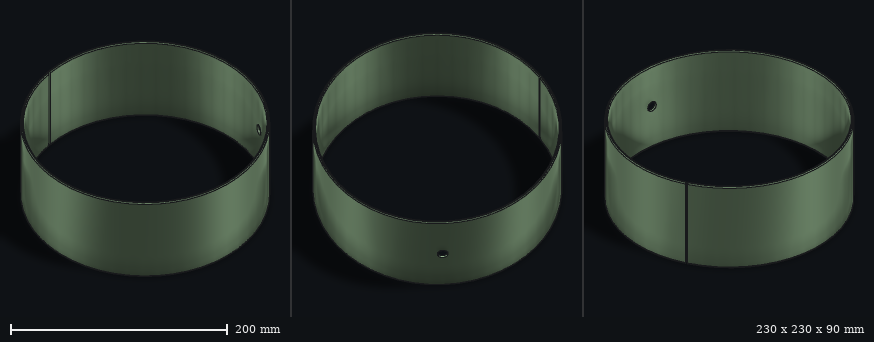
import cadquery as cq
import math

outer_diameter = 230.0
height = 90.0
wall = 2.5
bevel_width = 0.8
bevel_height = 1.4

gap_angle = 1.0
gap_start_angle = 180.0

hole_diameter = 10.0
hole_angle = gap_start_angle - gap_angle - 120.0
hole_height = height / 2

outer_radius = outer_diameter / 2
hole_overrun = wall


def make_band():
    """Sweep the bevelled wall section around Z, leaving the gap open."""
    inner_radius = outer_radius - wall
    section = cq.Workplane("XZ").polyline([
        (inner_radius + bevel_width, 0),
        (outer_radius - bevel_width, 0),
        (outer_radius, bevel_height),
        (outer_radius, height - bevel_height),
        (outer_radius - bevel_width, height),
        (inner_radius + bevel_width, height),
        (inner_radius, height - bevel_height),
        (inner_radius, bevel_height),
    ]).close()
    band = section.revolve(360 - gap_angle, (0, 0, 0), (0, 1, 0))
    return band.rotate((0, 0, 0), (0, 0, 1), gap_start_angle)


def make_hole_cutter():
    angle = math.radians(hole_angle)
    direction = cq.Vector(math.cos(angle), math.sin(angle), 0)
    start = direction * (outer_radius - wall - hole_overrun) + cq.Vector(0, 0, hole_height)
    return cq.Solid.makeCylinder(hole_diameter / 2, wall + 2 * hole_overrun, start, direction)


result = make_band().cut(make_hole_cutter())